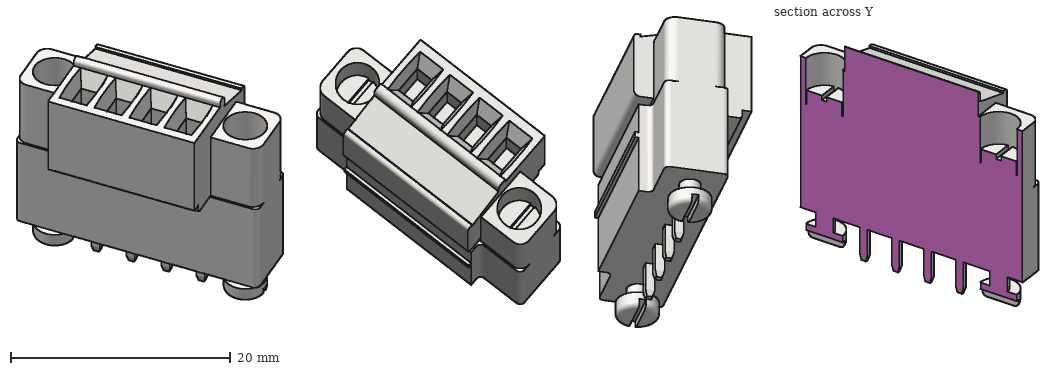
import cadquery as cq


total_width = 24.3
screw_spacing = 19.05
pole_count = 4
pole_pitch = 3.5
screw_xs = [-screw_spacing / 2, screw_spacing / 2]
pole_xs = [(i - (pole_count - 1) / 2) * pole_pitch for i in range(pole_count)]

header_height = 9.2
header_front_y = -3.01
header_back_y = 4.25
wing_back_y = 3.0
wing_corner_radius = 0.5
rib_depth = 0.35
rib_bottom_z = 5.65
rib_height = 0.58

plug_width = 14.65
plug_front_y = -6.4
plug_back_y = 4.71
plug_top_z = 18.03
insert_front_y = -5.52
insert_back_y = 2.85
insert_height = 0.85
insert_front_radius = 0.3
plug_bottom_z = header_height + insert_height
plug_bottom_radius = 0.6

ridge_front_y = -0.73
ridge_width = 1.02
ridge_top_z = 18.69
ridge_front_radius = 0.32
ridge_back_radius = 0.49
slope_top_z = 17.47
slope_bottom_z = 16.48
lip_width = 0.63
lip_top_z = 16.7
lip_radius = 0.32

lug_top_z = 16.06
lug_front_y = -2.82
lug_back_y = insert_back_y
lug_corner_radius = 1.05
lug_hole_diameter = 4.0
lug_hole_depth = 4.85

lug_screw_diameter = 3.9
lug_screw_height = 1.45
lug_slot_width = 0.49
lug_slot_depth = 0.49

funnel_back_y = ridge_front_y
funnel_front_y = -5.47
funnel_top_width = 2.72
funnel_side_bulge = 0.1
funnel_depth = 1.5
entry_back_y = -1.75
entry_front_y = -4.42
entry_width = 1.7
entry_depth = 2.92

stem_diameter = 2.0
stem_length = 1.48
head_diameter = 4.0
head_height = 1.53
head_edge_radius = 0.49
head_slot_width = 0.63
head_slot_depth = 0.8

pin_width = 0.87
pin_length = 3.4
pin_tip_height = 0.63
pin_tip_width = 0.53


def block(x_min, x_max, y_min, y_max, z_min, z_max):
    size = (x_max - x_min, y_max - y_min, z_max - z_min)
    return cq.Workplane("XY").box(*size, centered=False).translate((x_min, y_min, z_min))


def make_header():
    """Solid housing with two end wings and a narrow rib across its back."""
    half_total = total_width / 2
    half_plug = plug_width / 2
    wings = block(-half_total, half_total, header_front_y, wing_back_y, 0, header_height)
    wings = wings.edges("|Z").fillet(wing_corner_radius)
    center = block(-half_plug, half_plug, header_front_y, header_back_y, 0, header_height)
    header = wings.union(center)
    inner_corners = cq.selectors.BoxSelector(
        (-half_total, wing_back_y - 0.02, 0),
        (half_total, wing_back_y + 0.02, header_height),
    )
    header = header.edges("|Z").edges(inner_corners).fillet(wing_corner_radius)
    rib = block(
        -half_plug, half_plug, header_back_y, header_back_y + rib_depth,
        rib_bottom_z, rib_bottom_z + rib_height,
    )
    return header.union(rib)


def make_plug():
    """Plug body extruded along X, standing on a recessed insert."""
    ridge_back_y = ridge_front_y + ridge_width
    lip_front_y = plug_back_y - lip_width
    profile = (
        cq.Workplane("YZ", origin=(-plug_width / 2, 0, 0))
        .moveTo(plug_front_y, plug_bottom_z)
        .lineTo(plug_front_y, plug_top_z)
        .lineTo(ridge_front_y, plug_top_z)
        .lineTo(ridge_front_y, ridge_top_z - ridge_front_radius)
        .tangentArcPoint((ridge_front_radius, ridge_front_radius))
        .lineTo(ridge_back_y - ridge_back_radius, ridge_top_z)
        .tangentArcPoint((ridge_back_radius, -ridge_back_radius))
        .lineTo(ridge_back_y, slope_top_z)
        .lineTo(lip_front_y, slope_bottom_z)
        .lineTo(lip_front_y, lip_top_z)
        .lineTo(plug_back_y - lip_radius, lip_top_z)
        .tangentArcPoint((lip_radius, -lip_radius))
        .lineTo(plug_back_y, plug_bottom_z + plug_bottom_radius)
        .tangentArcPoint((-plug_bottom_radius, -plug_bottom_radius))
        .close()
    )
    body = profile.extrude(plug_width)
    insert = block(
        -plug_width / 2, plug_width / 2, insert_front_y, insert_back_y,
        header_height, plug_bottom_z,
    )
    insert = insert.edges("<Y and <Z").fillet(insert_front_radius)
    return body.union(insert)


def make_lugs():
    """Bar with rounded end corners that stands out as a lug at each end of the plug."""
    half_total = total_width / 2
    bar = block(-half_total, half_total, lug_front_y, lug_back_y, header_height, lug_top_z)
    return bar.edges("|Z").fillet(lug_corner_radius)


def make_lug_hole(x):
    """Blind round hole that leaves a slotted screw head standing on its floor."""
    floor_z = lug_top_z - lug_hole_depth
    head_top_z = floor_z + lug_screw_height
    half_slot = lug_slot_width / 2
    reach = lug_screw_diameter / 2
    hole = cq.Workplane("XY", origin=(x, 0, floor_z)).circle(lug_hole_diameter / 2).extrude(lug_hole_depth)
    head = cq.Workplane("XY", origin=(x, 0, floor_z)).circle(reach).extrude(lug_screw_height)
    slot = block(x - half_slot, x + half_slot, -reach, reach, head_top_z - lug_slot_depth, head_top_z)
    return hole.cut(head.cut(slot))


def make_wire_entry(x):
    """Funnel with slightly bowed sides leading into a straight rectangular hole."""
    half_top = funnel_top_width / 2
    half_entry = entry_width / 2
    bowed = half_top + funnel_side_bulge
    middle_y = (funnel_front_y + funnel_back_y) / 2
    funnel = (
        cq.Workplane("XY", origin=(x, 0, plug_top_z))
        .moveTo(-half_top, funnel_front_y)
        .lineTo(half_top, funnel_front_y)
        .threePointArc((bowed, middle_y), (half_top, funnel_back_y))
        .lineTo(-half_top, funnel_back_y)
        .threePointArc((-bowed, middle_y), (-half_top, funnel_front_y))
        .close()
        .workplane(offset=-funnel_depth)
        .moveTo(-half_entry, entry_front_y)
        .lineTo(half_entry, entry_front_y)
        .lineTo(half_entry, entry_back_y)
        .lineTo(-half_entry, entry_back_y)
        .close()
        .loft(ruled=True)
    )
    funnel_bottom_z = plug_top_z - funnel_depth
    entry = block(
        x - half_entry, x + half_entry, entry_front_y, entry_back_y,
        funnel_bottom_z - entry_depth, funnel_bottom_z,
    )
    return funnel.union(entry)


def make_bottom_screw(x):
    """Stem and rounded head below the header, with a slot running along X."""
    head_bottom_z = -stem_length - head_height
    reach = head_diameter / 2
    stem = cq.Workplane("XY", origin=(x, 0, -stem_length)).circle(stem_diameter / 2).extrude(stem_length)
    head = cq.Workplane("XY", origin=(x, 0, head_bottom_z)).circle(reach).extrude(head_height)
    head = head.faces("<Z").edges().fillet(head_edge_radius)
    slot = block(
        x - reach, x + reach, -head_slot_width / 2, head_slot_width / 2,
        head_bottom_z, head_bottom_z + head_slot_depth,
    )
    return stem.union(head.cut(slot))


def make_pin(x):
    """Square solder pin with a tapered tip."""
    shank_length = pin_length - pin_tip_height
    shank = cq.Workplane("XY", origin=(x, 0, 0)).rect(pin_width, pin_width).extrude(-shank_length)
    tip = (
        cq.Workplane("XY", origin=(x, 0, -shank_length))
        .rect(pin_width, pin_width)
        .workplane(offset=-pin_tip_height)
        .rect(pin_tip_width, pin_tip_width)
        .loft(ruled=True)
    )
    return shank.union(tip)


result = make_header().union(make_plug()).union(make_lugs())

for screw_x in screw_xs:
    result = result.cut(make_lug_hole(screw_x))
    result = result.union(make_bottom_screw(screw_x))

for pole_x in pole_xs:
    result = result.cut(make_wire_entry(pole_x))
    result = result.union(make_pin(pole_x))